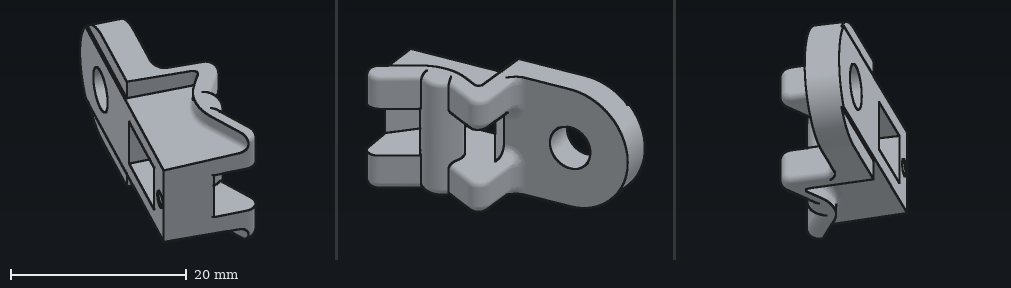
import cadquery as cq
import math

length = 30.5
width = 15.0
half_width = width / 2
plate_thickness = 4.05
eye_hole_radius = 2.62

web_half_width = 5.12
web_draft = 2.0
step_depth = 0.25

saddle_x = 22.45
saddle_low_y = 7.85
saddle_angle = 30.0
crest_radius = 1.45
post_foot_x = 14.52
post_draft = 3.0
edge_radius = 1.0
foot_radius = 1.37
bar_radius = 2.55
bar_y = 7.0

underside_low_y = 5.52
underside_radius = 6.1
recess_x = 16.32
recess_corner_radius = 0.55

tie_width = 5.98
window_start_x = 17.93
window_end_x = 26.95
channel_lip_y = 6.1
channel_low_y = 2.47

mark_x = 29.15
mark_radius = 1.0
mark_depth = 0.15

flange_middle_z = (tie_width / 2 + half_width) / 2

clear = 2 * length

slope = math.tan(math.radians(saddle_angle))
post_lean = math.tan(math.radians(post_draft))
web_lean = math.tan(math.radians(web_draft))

channel_radius = math.hypot(saddle_x - window_start_x, bar_y - channel_low_y)
channel_lip_x = saddle_x - math.sqrt(channel_radius**2 - (bar_y - channel_lip_y) ** 2)


def prism(points, z_start, z_end):
    """Extrude an XY outline from z_start to z_end."""
    return cq.Workplane("XY").workplane(offset=z_start).polyline(points).close().extrude(z_end - z_start)


def box(x_range, y_range, z_range):
    """Box between the given (start, end) limits on each axis."""
    size = [end - start for start, end in (x_range, y_range, z_range)]
    corner = (x_range[0], y_range[0], z_range[0])
    return cq.Workplane("XY").box(*size, centered=False).translate(corner)


def edges_near(solid, *points):
    """Select, for each given point, the edge that passes closest to it."""
    edges = solid.edges().vals()
    targets = [cq.Vertex.makeVertex(*point) for point in points]
    return solid.newObject([min(edges, key=target.distance) for target in targets])


def lean_meets_slope(base_x, low_y):
    """Where a wall leaning back from base_x at the base meets the slope falling to low_y at the saddle."""
    x = (base_x + post_lean * (low_y + slope * saddle_x)) / (1 + post_lean * slope)
    return x, low_y + slope * (saddle_x - x)


def both_sides(solid):
    """The solid together with its mirror image across Z = 0."""
    return solid.union(solid.mirror("XY"))


def plate_outline(thickness):
    """Plan shape of the part with its rounded eye end, as thick as asked."""
    eye = cq.Workplane("XZ").center(half_width, 0).circle(half_width).extrude(-thickness)
    return eye.union(box((half_width, length), (0, thickness), (-half_width, half_width)))


def post_half():
    """Front post and front slope on one side, rounded all round, with a filleted foot on the plate."""
    crest_x, crest_y = lean_meets_slope(post_foot_x - post_lean * plate_thickness, saddle_low_y)
    post = prism(
        [
            (post_foot_x - post_lean * plate_thickness, 0),
            (crest_x, crest_y),
            (saddle_x, saddle_low_y),
            (saddle_x, 0),
        ],
        tie_width / 2,
        half_width,
    )
    post = edges_near(post, (crest_x, crest_y, flange_middle_z)).fillet(crest_radius)
    front_edges = [(post_foot_x, plate_thickness, z) for z in (tie_width / 2, half_width)]
    post = edges_near(post, *front_edges).fillet(edge_radius)
    plate = box((0, saddle_x), (0, plate_thickness), (-half_width, 2 * half_width))
    joined = plate.union(post)
    joined = edges_near(joined, (post_foot_x, plate_thickness, flange_middle_z)).fillet(foot_radius)
    return joined.intersect(plate_outline(length))


def rear_half():
    """Rear slope on one side, rounded along its outer edge."""
    crest_y = saddle_low_y + slope * (length - saddle_x)
    rear = prism(
        [(saddle_x, 0), (saddle_x, saddle_low_y), (length, crest_y), (length, 0)],
        tie_width / 2,
        half_width,
    )
    rear = edges_near(rear, (length, crest_y, flange_middle_z)).fillet(crest_radius)
    return edges_near(rear, (length, plate_thickness, half_width)).fillet(edge_radius)


def flange_recess():
    """Space below one saddle flange, beside the web."""
    reach = length
    side_y = underside_low_y + slope * reach
    below = prism(
        [
            (saddle_x - reach, -length),
            (saddle_x - reach, side_y),
            (saddle_x, underside_low_y),
            (saddle_x + reach, side_y),
            (saddle_x + reach, -length),
        ],
        0,
        length,
    )
    below = edges_near(below, (saddle_x, underside_low_y, half_width)).fillet(underside_radius)
    beside_web = (
        cq.Workplane("YZ")
        .polyline(
            [
                (-length, web_half_width - web_lean * length),
                (length, web_half_width + web_lean * length),
                (length, clear),
                (-length, clear),
            ]
        )
        .close()
        .extrude(clear)
    )
    below = below.intersect(beside_web)
    rim_x = saddle_x + underside_radius
    rim_y = underside_low_y + slope * underside_radius
    below = edges_near(below, (rim_x, rim_y, web_half_width + web_lean * rim_y)).fillet(edge_radius)

    corner_x, corner_y = lean_meets_slope(recess_x, underside_low_y)
    behind_post = prism(
        [
            (recess_x - post_lean * length, -length),
            (corner_x, corner_y),
            (saddle_x, underside_low_y),
            (clear, underside_low_y + slope * (clear - saddle_x)),
            (clear, -length),
        ],
        0,
        clear,
    )
    behind_post = edges_near(behind_post, (corner_x, corner_y, half_width)).fillet(recess_corner_radius)
    behind_post = edges_near(behind_post, (saddle_x, underside_low_y, half_width)).fillet(underside_radius)
    return below.intersect(behind_post)


def saddle_bar():
    """Round bar across the full width, with rounded ends."""
    bar = cq.Workplane("XY").center(saddle_x, bar_y).circle(bar_radius).extrude(half_width, both=True)
    return bar.edges().fillet(edge_radius)


def tie_channel():
    """Passage that curves around the bar at the front and rises at 45 degrees to the rear end."""
    lip_angle = math.atan2(bar_y - channel_lip_y, saddle_x - channel_lip_x)
    window_angle = math.atan2(bar_y - channel_low_y, saddle_x - window_start_x)
    arc_angle = math.pi + (lip_angle + window_angle) / 2
    arc_middle = (
        saddle_x + channel_radius * math.cos(arc_angle),
        bar_y + channel_radius * math.sin(arc_angle),
    )
    run_out = clear - window_end_x
    return (
        cq.Workplane("XY")
        .workplane(offset=-tie_width / 2)
        .moveTo(channel_lip_x, channel_lip_y)
        .threePointArc(arc_middle, (window_start_x, channel_low_y))
        .lineTo(window_end_x, channel_low_y)
        .lineTo(clear, channel_low_y + run_out)
        .lineTo(clear, clear)
        .lineTo(channel_lip_x, clear)
        .close()
        .extrude(tie_width)
    )


body = plate_outline(plate_thickness)
body = body.union(both_sides(post_half()))
body = body.union(both_sides(rear_half()))
body = body.union(box((channel_lip_x, length), (0, saddle_low_y), (-tie_width / 2, tie_width / 2)))

body = body.cut(tie_channel())
body = body.cut(box((window_start_x, window_end_x), (0, length), (-tie_width / 2, tie_width / 2)))
body = body.union(saddle_bar())

body = body.cut(both_sides(flange_recess()))
step_z = web_half_width + web_lean * step_depth
body = body.cut(both_sides(box((0, length), (0, step_depth), (step_z, half_width))))

body = body.cut(cq.Workplane("XZ").center(half_width, 0).circle(eye_hole_radius).extrude(-plate_thickness))
body = body.cut(cq.Workplane("XZ").center(mark_x, 0).circle(mark_radius).extrude(-mark_depth))

result = body